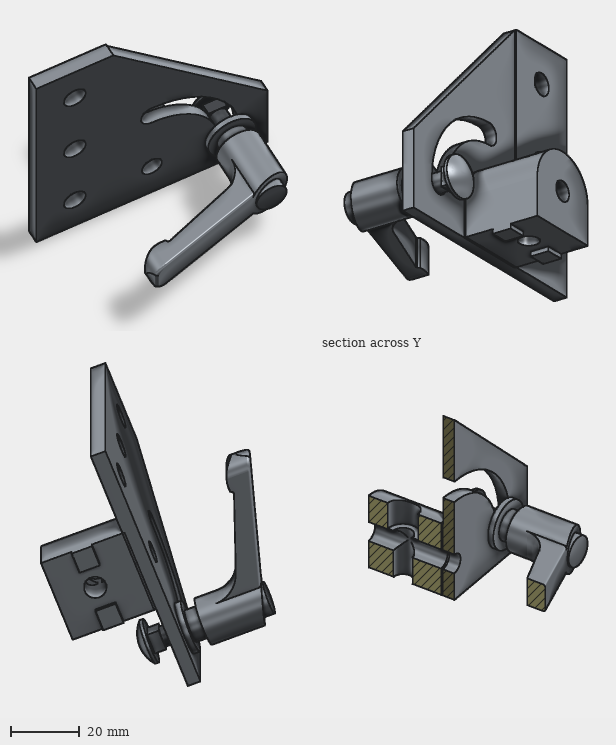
import cadquery as cq
import math

MODULE = 25.4
CUT_MARGIN = 1.0

BLOCK_LENGTH = MODULE
BLOCK_RADIUS = MODULE / 2
AXIS_Z = MODULE / 2
PIVOT_HOLE_D = 6.55
SCREW_X = -13.4
SCREW_HOLE_D = 6.55
COUNTERBORE_D = 10.4
COUNTERBORE_DEPTH = 9.0
KEY_WIDTH = MODULE / 4
KEY_HEIGHT = 1.52

PLATE_THICKNESS = 4.57
PLATE_HEIGHT = 3 * MODULE
FLANGE_EDGE_Y = -BLOCK_RADIUS
PLATE_MIN_Y = FLANGE_EDGE_Y - MODULE
PLATE_MAX_Y = FLANGE_EDGE_Y + 2 * MODULE
WEB_RECESS = 0.64
FLANGE_HOLE_D = 7.14
FLANGE_HOLE_COUNT = 3
SLOT_RADIUS = MODULE
SLOT_WIDTH = FLANGE_HOLE_D

BOLT_Y = SLOT_RADIUS
BOLT_D = 6.2
BOLT_LENGTH = MODULE
BOLT_SEAT_X = -5.92
HEAD_D = 13.5
HEAD_RIM = 1.05
HEAD_DOME = 2.6
NECK_LENGTH = 3.6
WASHER_D = 15.75
WASHER_THICKNESS = 1.87
INSERT_D = 9.9
INSERT_LENGTH = 24.4
INSERT_EXPOSED = 4.0
INSERT_START_X = PLATE_THICKNESS + WASHER_THICKNESS

HANDLE_START_X = INSERT_START_X + INSERT_EXPOSED
HUB_D = 14.5
ARM_WIDTH = 9.6
BACK_ANGLE = math.radians(16.4)
BACK_X_AT_AXIS = 18.5
INNER_ANGLE = math.radians(20.0)
TIP_REACH = 44.85
BACK_CORNER_REACH = 43.7
NOTCH_X = 23.05
NOTCH_REACH = 34.9
NOTCH_LENGTH = 0.7
HEEL_X = 22.3
HEEL_REACH = 36.1
HEEL_LENGTH = 1.5
HEEL_ARC_MIDDLE = (23.15, 41.2)
HEEL_ARC_END = (25.1, 44.1)
TIP_CORNER_X = 26.3
TIP_FILLET = 1.8
ROOT_FILLET = 8.0
BACK_FILLET = 0.85


def rod(diameter, start_x, length, y=0.0):
    """Cylinder along +X on the axis height."""
    plane = cq.Workplane("YZ", origin=(start_x, y, AXIS_Z))
    return plane.circle(diameter / 2).extrude(length)


def arch(start_x, length):
    """Square-bottomed, round-topped bar along +X."""
    return (
        cq.Workplane("YZ", origin=(start_x, 0, 0))
        .moveTo(-BLOCK_RADIUS, 0)
        .lineTo(BLOCK_RADIUS, 0)
        .lineTo(BLOCK_RADIUS, AXIS_Z)
        .threePointArc((0, AXIS_Z + BLOCK_RADIUS), (-BLOCK_RADIUS, AXIS_Z))
        .close()
        .extrude(length)
    )


def pivot_hole():
    """Cutter on the pivot axis through the block, spacer and plate."""
    length = BLOCK_LENGTH + PLATE_THICKNESS + 2 * CUT_MARGIN
    return rod(PIVOT_HOLE_D, -BLOCK_LENGTH - CUT_MARGIN, length)


def make_block():
    block = arch(-BLOCK_LENGTH, BLOCK_LENGTH)
    key_y = BLOCK_RADIUS - KEY_WIDTH / 2
    keys = (
        cq.Workplane("XY")
        .pushPoints([(-BLOCK_LENGTH / 2, key_y), (-BLOCK_LENGTH / 2, -key_y)])
        .rect(KEY_WIDTH, KEY_WIDTH)
        .extrude(-KEY_HEIGHT)
    )
    top_z = AXIS_Z + BLOCK_RADIUS
    screw_hole = (
        cq.Workplane("XY", origin=(SCREW_X, 0, top_z))
        .circle(SCREW_HOLE_D / 2)
        .extrude(-top_z)
    )
    counterbore = (
        cq.Workplane("XY", origin=(SCREW_X, 0, top_z))
        .circle(COUNTERBORE_D / 2)
        .extrude(-COUNTERBORE_DEPTH)
    )
    return block.union(keys).cut(screw_hole).cut(counterbore).cut(pivot_hole())


def make_spacer():
    return arch(0, WEB_RECESS).cut(pivot_hole())


def slot_cutter():
    """Quarter-circle slot around the pivot, from the bolt axis up to straight above the pivot."""
    outer = SLOT_RADIUS + SLOT_WIDTH / 2
    inner = SLOT_RADIUS - SLOT_WIDTH / 2
    half = SLOT_WIDTH / 2
    diagonal = math.sqrt(0.5)
    return (
        cq.Workplane("YZ", origin=(0, 0, AXIS_Z))
        .moveTo(outer, 0)
        .threePointArc((outer * diagonal, outer * diagonal), (0, outer))
        .threePointArc((-half, SLOT_RADIUS), (0, inner))
        .threePointArc((inner * diagonal, inner * diagonal), (inner, 0))
        .threePointArc((SLOT_RADIUS, -half), (outer, 0))
        .close()
        .extrude(PLATE_THICKNESS)
    )


def make_plate():
    flange = (
        cq.Workplane("YZ")
        .moveTo(PLATE_MIN_Y, 0)
        .lineTo(FLANGE_EDGE_Y, 0)
        .lineTo(FLANGE_EDGE_Y, PLATE_HEIGHT)
        .lineTo(PLATE_MIN_Y, PLATE_HEIGHT)
        .close()
        .extrude(PLATE_THICKNESS)
    )
    web = (
        cq.Workplane("YZ", origin=(WEB_RECESS, 0, 0))
        .moveTo(FLANGE_EDGE_Y, 0)
        .lineTo(PLATE_MAX_Y, 0)
        .lineTo(PLATE_MAX_Y, MODULE)
        .lineTo(FLANGE_EDGE_Y, PLATE_HEIGHT)
        .close()
        .extrude(PLATE_THICKNESS - WEB_RECESS)
    )
    hole_y = (PLATE_MIN_Y + FLANGE_EDGE_Y) / 2
    flange_holes = (
        cq.Workplane("YZ")
        .pushPoints([(hole_y, AXIS_Z + i * MODULE) for i in range(FLANGE_HOLE_COUNT)])
        .circle(FLANGE_HOLE_D / 2)
        .extrude(PLATE_THICKNESS)
    )
    return flange.union(web).cut(flange_holes).cut(slot_cutter()).cut(pivot_hole())


def bolt_shank():
    """Bolt shank, also the cutter for the parts it passes into."""
    return rod(BOLT_D, BOLT_SEAT_X, BOLT_LENGTH, BOLT_Y)


def make_bolt():
    head_radius = HEAD_D / 2
    sphere_radius = (head_radius**2 + HEAD_DOME**2) / (2 * HEAD_DOME)
    mid_radius = head_radius / 2
    mid_rise = math.sqrt(sphere_radius**2 - mid_radius**2) - (sphere_radius - HEAD_DOME)
    head = (
        cq.Workplane("XY", origin=(BOLT_SEAT_X, BOLT_Y, AXIS_Z))
        .lineTo(0, head_radius)
        .lineTo(-HEAD_RIM, head_radius)
        .threePointArc((-HEAD_RIM - mid_rise, mid_radius), (-HEAD_RIM - HEAD_DOME, 0))
        .close()
        .revolve(360, (0, 0, 0), (1, 0, 0))
    )
    neck = (
        cq.Workplane("YZ", origin=(BOLT_SEAT_X, BOLT_Y, AXIS_Z))
        .rect(BOLT_D, BOLT_D)
        .extrude(NECK_LENGTH)
    )
    return head.union(neck).union(bolt_shank())


def make_washer():
    return rod(WASHER_D, PLATE_THICKNESS, WASHER_THICKNESS, BOLT_Y).cut(bolt_shank())


def insert_body():
    """Insert before boring, also the cutter for its seat in the handle."""
    return rod(INSERT_D, INSERT_START_X, INSERT_LENGTH, BOLT_Y)


def make_insert():
    return insert_body().cut(bolt_shank())


def back_x(reach):
    """X of the sloping back face, from the hub's front."""
    return BACK_X_AT_AXIS + reach * math.tan(BACK_ANGLE)


def make_handle():
    hub_radius = HUB_D / 2
    half_width = ARM_WIDTH / 2

    back_corner_x = back_x(BACK_CORNER_REACH)
    tip_corner_reach = BACK_CORNER_REACH + (back_corner_x - TIP_CORNER_X) * math.tan(BACK_ANGLE)
    arm = (
        cq.Workplane("XY", origin=(HANDLE_START_X, BOLT_Y, AXIS_Z - half_width))
        .moveTo(NOTCH_X - NOTCH_REACH * math.tan(INNER_ANGLE), 0)
        .lineTo(NOTCH_X, -NOTCH_REACH)
        .lineTo(NOTCH_X, -NOTCH_REACH - NOTCH_LENGTH)
        .lineTo(HEEL_X, -HEEL_REACH)
        .lineTo(HEEL_X, -HEEL_REACH - HEEL_LENGTH)
        .threePointArc(
            (HEEL_ARC_MIDDLE[0], -HEEL_ARC_MIDDLE[1]),
            (HEEL_ARC_END[0], -HEEL_ARC_END[1]),
        )
        .lineTo(TIP_CORNER_X, -tip_corner_reach)
        .lineTo(back_corner_x, -BACK_CORNER_REACH)
        .lineTo(back_x(0), 0)
        .close()
        .extrude(ARM_WIDTH)
        .edges("|Z and <Y")
        .fillet(TIP_FILLET)
    )

    round_start = BOLT_Y - TIP_REACH + half_width
    envelope = (
        cq.Workplane("YZ", origin=(HANDLE_START_X, 0, AXIS_Z))
        .moveTo(BOLT_Y, half_width)
        .lineTo(round_start, half_width)
        .threePointArc((round_start - half_width, 0), (round_start, -half_width))
        .lineTo(BOLT_Y, -half_width)
        .close()
        .extrude(2 * back_x(0))
    )

    hub_trim = (
        cq.Workplane("XY", origin=(HANDLE_START_X, BOLT_Y, AXIS_Z - hub_radius))
        .moveTo(0, hub_radius)
        .lineTo(back_x(-hub_radius), hub_radius)
        .lineTo(back_x(hub_radius), -hub_radius)
        .lineTo(0, -hub_radius)
        .close()
        .extrude(HUB_D)
    )
    hub = rod(HUB_D, HANDLE_START_X, 2 * back_x(0), BOLT_Y).intersect(hub_trim)

    arm = arm.intersect(envelope)
    back_normal = cq.Vector(math.cos(BACK_ANGLE), math.sin(BACK_ANGLE), 0)
    back_face = cq.selectors.DirectionMinMaxSelector(back_normal)
    arm = arm.faces(back_face).edges("not >Y").fillet(BACK_FILLET)

    handle = hub.union(arm)
    root_x = HANDLE_START_X + NOTCH_X - (NOTCH_REACH - hub_radius) * math.tan(INNER_ANGLE)
    handle = handle.edges(
        cq.selectors.NearestToPointSelector((root_x, BOLT_Y - hub_radius, AXIS_Z))
    ).fillet(ROOT_FILLET)
    return handle.cut(insert_body())


block = make_block()
spacer = make_spacer()
plate = make_plate()
bolt = make_bolt()
washer = make_washer()
insert = make_insert()
handle = make_handle()

result = cq.Compound.makeCompound(
    [
        block.val(),
        spacer.val(),
        plate.val(),
        bolt.val(),
        washer.val(),
        insert.val(),
        handle.val(),
    ]
)